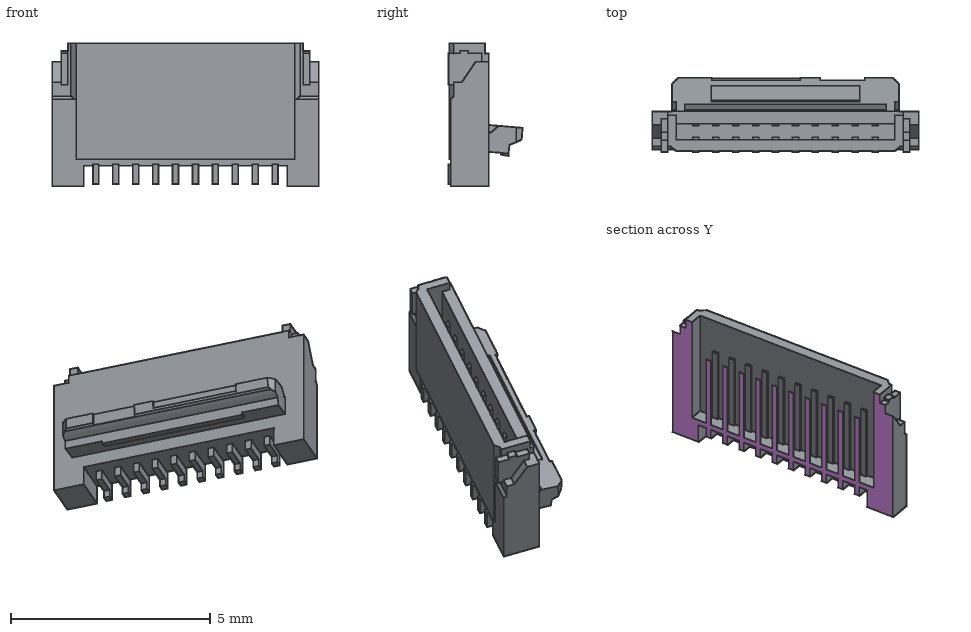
import cadquery as cq

LENGTH = 6.7
HEIGHT = 3.6
CORE_LENGTH = 5.91
BODY_FRONT = 0.06
BODY_BACK = 1.02
WALL_BACK = 0.925
BACK_WALL_TOP = 3.34

PANEL_LENGTH = 5.495
PANEL_FRONT = 0.02
PANEL_BOTTOM = 0.685

RECESS_Y = 0.14
RECESS_Z = 2.27
RECESS_INNER_X = 2.88
RECESS_RAMP = RECESS_Y - BODY_FRONT
RECESS_RAMP_Z = RECESS_Z - RECESS_RAMP
RECESS_WALL_RUN = (RECESS_INNER_X - PANEL_LENGTH / 2) / (RECESS_Y - PANEL_FRONT)
RECESS_OUTER_X = RECESS_INNER_X - RECESS_WALL_RUN * RECESS_RAMP

END_TOP = 3.135
END_SHOULDER_Z = 2.62
END_TOP_FRONT = 0.69
END_SHOULDER_BACK = 0.34

GAP_LENGTH = 5.105
GAP_HEIGHT = 0.515

SLOT_FRONT = 0.315
SLOT_BACK = 0.72
SLOT_FLOOR = PANEL_BOTTOM

CONTACT_COUNT = 10
CONTACT_SPAN = 4.5
CONTACT_PITCH = CONTACT_SPAN / (CONTACT_COUNT - 1)
CONTACT_WIDTH = 0.155
CONTACT_RISE = 0.06
CONTACT_TOP = 2.68
TAIL_DEPTH = 0.175
TAIL_BOTTOM = 0.06
TAIL_TOP = 0.555
STEM_BOTTOM = 0.255

TAB_THICKNESS = 0.17
TAB_BACK = 0.84
TAB_BOTTOM = 2.56
TAB_TOP = BACK_WALL_TOP
TAB_BUMP_FRONT = 0.295
TAB_BUMP_BACK = 0.5
TAB_BUMP_TOP = 3.405

LEVER_LENGTH = 5.71
LEVER_TIP = 1.87
LEVER_TIP_Z = 1.475
LEVER_ROOT_Z = 1.55
LEVER_CHAMFER = 0.16
LEVER_SLOPE = (LEVER_ROOT_Z - LEVER_TIP_Z) / (LEVER_TIP - BODY_BACK)
LEVER_UNDERSIDE = [(1.85, 1.2), (1.8, 1.15), (1.69, 1.1), (1.54, 1.045), (1.515, 0.83), (BODY_BACK, 0.865)]
RIDGE_PROFILE = [(1.515, 0.83), (1.515, 0.765), (1.31, 0.8), (1.31, 0.865)]

HINGE_NOTCH_WIDTH = 0.11
HINGE_NOTCH_BACK = 1.265
HINGE_NOTCH_LOW = (1.065, 1.35)
HINGE_NOTCH_ROOT_Z = 1.375
ROOT_GROOVE_LENGTH = 5.065
ROOT_GROOVE_BACK = 1.205
ROOT_GROOVE_LOW = (1.06, 1.44)
WINDOW_LENGTH = 3.74
WINDOW_FRONT = 1.26
WINDOW_FLOOR_FRONT = 1.3
WINDOW_BACK = 1.66
WINDOW_DEPTH = 0.04
TIP_NOTCH_DEPTH = 0.06
SHALLOW_NOTCH_X = (-1.85, 0.375)
SHALLOW_NOTCH_FLOOR = 1.27
DEEP_NOTCH_X = (0.88, 1.99)

OVERCUT = 0.335


def box(x_range, y_range, z_range):
    (x0, x1), (y0, y1), (z0, z1) = x_range, y_range, z_range
    return cq.Workplane("XY").box(x1 - x0, y1 - y0, z1 - z0, centered=False).translate((x0, y0, z0))


def centred_box(length, y_range, z_range):
    return box((-length / 2, length / 2), y_range, z_range)


def prism(points, x_start, x_end):
    """Extrude a (y, z) outline along X."""
    return cq.Workplane("YZ").workplane(offset=x_start).polyline(points).close().extrude(x_end - x_start)


def both_ends(shape):
    return shape.union(shape.mirror("YZ"))


def lever_top(y):
    return LEVER_TIP_Z + LEVER_SLOPE * (LEVER_TIP - y)


def make_housing():
    core = centred_box(CORE_LENGTH, (BODY_FRONT, BODY_BACK), (0, HEIGHT))
    end_profile = [
        (BODY_FRONT, 0), (BODY_BACK, 0), (BODY_BACK, END_TOP), (END_TOP_FRONT, END_TOP),
        (END_SHOULDER_BACK, END_SHOULDER_Z), (BODY_FRONT, END_SHOULDER_Z),
    ]
    ends = both_ends(prism(end_profile, CORE_LENGTH / 2, LENGTH / 2))
    above_back_wall = (BACK_WALL_TOP, HEIGHT + OVERCUT)
    behind_walls = centred_box(LENGTH, (WALL_BACK, BODY_BACK + OVERCUT), above_back_wall)
    open_top = centred_box(PANEL_LENGTH, (SLOT_FRONT, BODY_BACK), above_back_wall)
    slot = centred_box(PANEL_LENGTH, (SLOT_FRONT, SLOT_BACK), (SLOT_FLOOR, HEIGHT))
    foot_gap = centred_box(GAP_LENGTH, (0, BODY_BACK + OVERCUT), (-OVERCUT, GAP_HEIGHT))
    housing = core.union(ends).cut(corner_recesses()).union(make_panel())
    return housing.cut(behind_walls).cut(open_top).cut(slot).cut(foot_gap)


def make_panel():
    """Front panel whose sides flare out above the ramps to meet the recess walls."""
    panel = centred_box(PANEL_LENGTH, (PANEL_FRONT, BODY_FRONT), (PANEL_BOTTOM, HEIGHT))
    half = PANEL_LENGTH / 2
    flared_plan = [
        (-half, PANEL_FRONT), (half, PANEL_FRONT),
        (RECESS_OUTER_X, BODY_FRONT), (-RECESS_OUTER_X, BODY_FRONT),
    ]
    flared = cq.Workplane("XY").workplane(offset=RECESS_RAMP_Z).polyline(flared_plan).close()
    return panel.union(flared.extrude(HEIGHT - RECESS_RAMP_Z))


def corner_recesses():
    """Recesses with a ramped floor and a slanted wall running up to the panel."""
    ramp_profile = [
        (BODY_FRONT, RECESS_RAMP_Z), (RECESS_Y, RECESS_Z),
        (RECESS_Y, HEIGHT), (BODY_FRONT, HEIGHT),
    ]
    ramp = prism(ramp_profile, RECESS_OUTER_X, LENGTH / 2)
    plan = [
        (RECESS_OUTER_X, BODY_FRONT), (RECESS_INNER_X, RECESS_Y),
        (LENGTH / 2, RECESS_Y), (LENGTH / 2, BODY_FRONT),
    ]
    return both_ends(ramp.intersect(cq.Workplane("XY").polyline(plan).close().extrude(HEIGHT)))


def make_tabs():
    profile = [
        (0, TAB_BOTTOM), (TAB_BACK, TAB_BOTTOM), (TAB_BACK, TAB_TOP),
        (TAB_BUMP_BACK, TAB_TOP), (TAB_BUMP_BACK, TAB_BUMP_TOP),
        (TAB_BUMP_FRONT, TAB_BUMP_TOP), (TAB_BUMP_FRONT, TAB_TOP), (0, TAB_TOP),
    ]
    return both_ends(prism(profile, CORE_LENGTH / 2, CORE_LENGTH / 2 + TAB_THICKNESS))


def make_contact(x):
    x_range = (x - CONTACT_WIDTH / 2, x + CONTACT_WIDTH / 2)
    tail = box(x_range, (0, TAIL_DEPTH), (TAIL_BOTTOM, TAIL_TOP))
    stem = box(x_range, (TAIL_DEPTH, SLOT_BACK), (STEM_BOTTOM, TAIL_TOP))
    front_beam = box(x_range, (SLOT_FRONT, SLOT_FRONT + CONTACT_RISE), (SLOT_FLOOR, CONTACT_TOP))
    tip_y = SLOT_BACK - CONTACT_RISE
    back_profile = [
        (SLOT_BACK, SLOT_FLOOR), (tip_y, SLOT_FLOOR),
        (tip_y, CONTACT_TOP - CONTACT_RISE), (SLOT_BACK, CONTACT_TOP),
    ]
    return tail.union(stem).union(front_beam).union(prism(back_profile, *x_range))


def make_lever():
    half = LEVER_LENGTH / 2
    profile = [(BODY_BACK, LEVER_ROOT_Z), (LEVER_TIP, LEVER_TIP_Z)] + LEVER_UNDERSIDE
    plan = [
        (-half, BODY_BACK), (half, BODY_BACK), (half, LEVER_TIP - LEVER_CHAMFER),
        (half - LEVER_CHAMFER, LEVER_TIP), (LEVER_CHAMFER - half, LEVER_TIP),
        (-half, LEVER_TIP - LEVER_CHAMFER),
    ]
    lever = prism(profile, -half, half)
    lever = lever.intersect(cq.Workplane("XY").polyline(plan).close().extrude(HEIGHT))
    ridge = prism(RIDGE_PROFILE, -WINDOW_LENGTH / 2, WINDOW_LENGTH / 2)
    return lever.union(ridge).cut(hinge_notches()).cut(root_groove()).cut(window()).cut(tip_notches())


def hinge_notches():
    """V-shaped notches in the lever's root corners."""
    profile = [
        (HINGE_NOTCH_BACK, lever_top(HINGE_NOTCH_BACK)), HINGE_NOTCH_LOW,
        (BODY_BACK, HINGE_NOTCH_ROOT_Z), (BODY_BACK, LEVER_ROOT_Z),
    ]
    half = LEVER_LENGTH / 2
    return both_ends(prism(profile, half - HINGE_NOTCH_WIDTH, half))


def root_groove():
    low_y, low_z = ROOT_GROOVE_LOW
    profile = [
        (ROOT_GROOVE_BACK, lever_top(ROOT_GROOVE_BACK)), ROOT_GROOVE_LOW,
        (BODY_BACK, low_z), (BODY_BACK, LEVER_ROOT_Z),
    ]
    return prism(profile, -ROOT_GROOVE_LENGTH / 2, ROOT_GROOVE_LENGTH / 2)


def window():
    """Shallow recess, parallel to the lever's sloping top, with a ramp on the housing side."""
    profile = [
        (WINDOW_FRONT, lever_top(WINDOW_FRONT)), (WINDOW_BACK, lever_top(WINDOW_BACK)),
        (WINDOW_BACK, lever_top(WINDOW_BACK) - WINDOW_DEPTH),
        (WINDOW_FLOOR_FRONT, lever_top(WINDOW_FLOOR_FRONT) - WINDOW_DEPTH),
    ]
    return prism(profile, -WINDOW_LENGTH / 2, WINDOW_LENGTH / 2)


def tip_notches():
    y_range = (LEVER_TIP - TIP_NOTCH_DEPTH, LEVER_TIP + OVERCUT)
    shallow = box(SHALLOW_NOTCH_X, y_range, (SHALLOW_NOTCH_FLOOR, HEIGHT))
    deep = box(DEEP_NOTCH_X, y_range, (0, HEIGHT))
    return shallow.union(deep)


result = make_housing().union(make_tabs()).union(make_lever())
for index in range(CONTACT_COUNT):
    result = result.union(make_contact(index * CONTACT_PITCH - CONTACT_SPAN / 2))